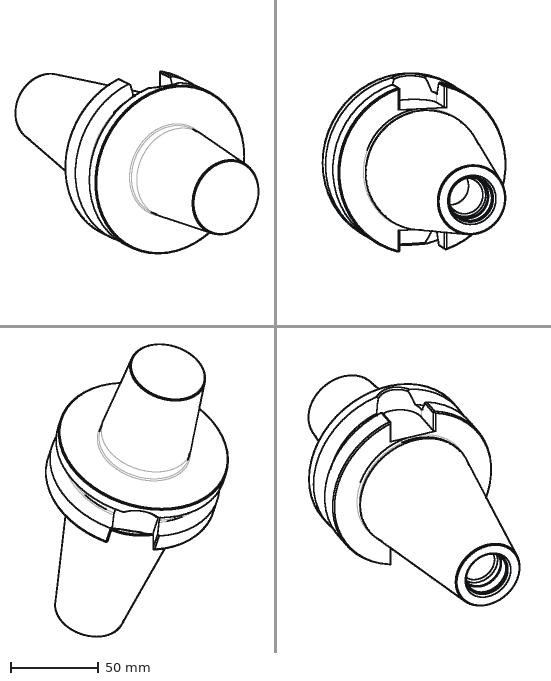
import cadquery as cq
import math

length = 201.8

gauge_x = 101.1
gauge_radius = 35.0
taper_slope = 7 / 48
shank_end_radius = gauge_radius - taper_slope * gauge_x
end_chamfer = 0.6
relief_step = 0.6
relief_fillet = 1.0

flange_start = 104.7
flange_end = 139.6
flange_diameter = 99.9
flange_radius = flange_diameter / 2
flange_front_chamfer_depth = 1.2
flange_front_chamfer_height = 0.6
flange_back_chamfer = 0.6
groove_start = 117.0
groove_end = 132.5
groove_radius = 42.4
groove_flank_angle = math.radians(30)
groove_run = (flange_radius - groove_radius) * math.tan(groove_flank_angle)
groove_fillet = 1.2

nose_radius = 26.6
nose_taper_start = 146.3
nose_end_radius = 22.2
nose_fillet = 0.8

slot_half_width = 13.3
slot_end = 135.8
slot_floor = 35.1
slot_chamfer = 1.0

mouth_radius = 14.3
mouth_chamfer_depth = 1.2
mouth_depth = 2.8
pilot_radius = 12.5
pilot_depth = 9.0
thread_radius = 12.0
thread_depth = 13.1
core_start = 14.1
core_radius = 10.5
core_depth = 44.4
drill_tip_angle = 118


def make_body():
    relief_radius = gauge_radius - relief_step
    chamfer_radius = shank_end_radius + taper_slope * end_chamfer
    groove_corner_x = groove_start + groove_run
    fillet_length = groove_fillet * math.tan((math.pi / 2 - groove_flank_angle) / 2)
    fillet_top = (
        groove_corner_x - fillet_length * math.sin(groove_flank_angle),
        groove_radius + fillet_length * math.cos(groove_flank_angle),
    )
    profile = (
        cq.Workplane("XY")
        .lineTo(0, chamfer_radius - end_chamfer)
        .lineTo(end_chamfer, chamfer_radius)
        .lineTo(gauge_x, gauge_radius)
        .lineTo(gauge_x + relief_step, relief_radius)
        .lineTo(flange_start - relief_fillet, relief_radius)
        .radiusArc((flange_start, relief_radius + relief_fillet), -relief_fillet)
        .lineTo(flange_start, flange_radius - flange_front_chamfer_height)
        .lineTo(flange_start + flange_front_chamfer_depth, flange_radius)
        .lineTo(groove_start, flange_radius)
        .lineTo(*fillet_top)
        .radiusArc((groove_corner_x + fillet_length, groove_radius), -groove_fillet)
        .lineTo(groove_end - groove_run, groove_radius)
        .lineTo(groove_end, flange_radius)
        .lineTo(flange_end - flange_back_chamfer, flange_radius)
        .lineTo(flange_end, flange_radius - flange_back_chamfer)
        .lineTo(flange_end, nose_radius + nose_fillet)
        .radiusArc((flange_end + nose_fillet, nose_radius), -nose_fillet)
        .lineTo(nose_taper_start, nose_radius)
        .lineTo(length - end_chamfer, nose_end_radius)
        .lineTo(length, nose_end_radius - end_chamfer)
        .lineTo(length, 0)
        .close()
    )
    return profile.revolve(360, (0, 0, 0), (1, 0, 0))


def make_bore():
    tip_length = core_radius / math.tan(math.radians(drill_tip_angle / 2))
    profile = (
        cq.Workplane("XY")
        .lineTo(0, mouth_radius)
        .lineTo(mouth_chamfer_depth, mouth_radius - mouth_chamfer_depth)
        .lineTo(mouth_depth, mouth_radius - mouth_chamfer_depth)
        .lineTo(mouth_depth, pilot_radius)
        .lineTo(pilot_depth, pilot_radius)
        .lineTo(pilot_depth, thread_radius)
        .lineTo(thread_depth, thread_radius)
        .lineTo(core_start, core_radius)
        .lineTo(core_depth, core_radius)
        .lineTo(core_depth + tip_length, 0)
        .close()
    )
    return profile.revolve(360, (0, 0, 0), (1, 0, 0))


def make_slot():
    """Round-ended slot, open through the front face of the flange."""
    center_x = slot_end - slot_half_width
    start_x = flange_start - relief_fillet
    return (
        cq.Workplane("XY", origin=(0, 0, slot_floor))
        .moveTo(start_x, -slot_half_width)
        .lineTo(center_x, -slot_half_width)
        .threePointArc((slot_end, 0), (center_x, slot_half_width))
        .lineTo(start_x, slot_half_width)
        .close()
        .extrude(flange_radius)
    )


def make_slot_lead_in():
    """Wedge that bevels the two slot corners on the flange front face."""
    wide = slot_half_width + slot_chamfer
    bevel_end = flange_start + slot_chamfer
    corners = [
        (flange_start, -wide),
        (bevel_end, -slot_half_width),
        (bevel_end, slot_half_width),
        (flange_start, wide),
    ]
    return (
        cq.Workplane("XY", origin=(0, 0, slot_floor))
        .polyline(corners)
        .close()
        .extrude(flange_radius)
    )


def is_slot_rim_edge(edge):
    """True for slot edges on the outer cylinder of the flange."""
    tolerance = 0.02
    middle = edge.positionAt(0.5)
    on_wall = abs(abs(middle.y) - slot_half_width) < tolerance
    on_round_end = abs(middle.x - slot_end) < tolerance
    on_cylinder = abs(math.hypot(middle.y, middle.z) - flange_radius) < tolerance
    return (on_wall or on_round_end) and on_cylinder


def cut_on_both_sides(body, cutter):
    for turn in (0, 180):
        body = body.cut(cutter.rotate((0, 0, 0), (1, 0, 0), turn))
    return body


body = make_body().cut(make_bore())
body = cut_on_both_sides(body, make_slot())
rim_edges = [edge for edge in body.edges().vals() if is_slot_rim_edge(edge)]
body = body.newObject(rim_edges).chamfer(slot_chamfer)
result = cut_on_both_sides(body, make_slot_lead_in())